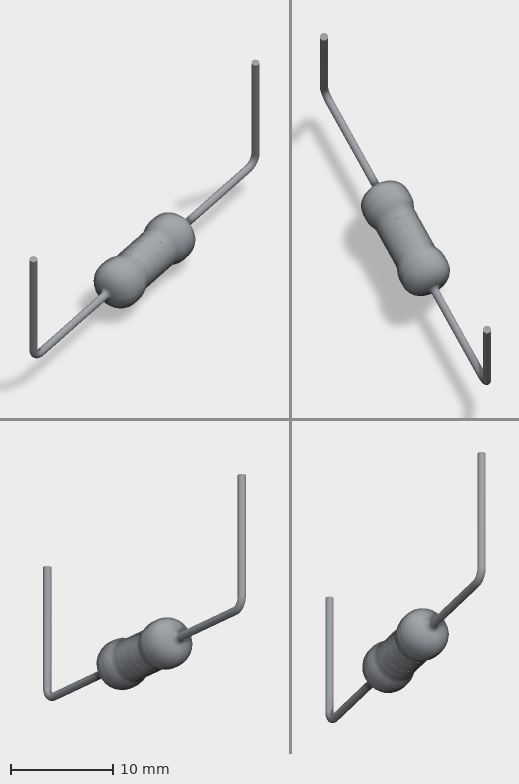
import cadquery as cq


wire_radius = 0.4
lead_spacing = 35.0
lead_top = 13.6
bend_radius = 1.2

cap_radius = 2.5
barrel_radius = 4.25 / 2
band_radius = 4.27 / 2
body_half_length = 6.0
cap_outer_edge = 4.25
cap_inner_edge = 3.5
barrel_half_length = 2.0
neck_fillet = 0.5

band_count = 4
band_width = 2 * barrel_half_length / (2 * band_count - 1)


def make_cylinder(radius, start_y, length):
    """Solid cylinder about Y, running from start_y toward +Y."""
    return (
        cq.Workplane("XZ", origin=(0, start_y, 0))
        .circle(radius)
        .extrude(-length)
    )


def make_end_cap():
    """Flared shoulder, domed cap and filleted neck at the +Y end, revolved about Y."""
    neck_radius = wire_radius + neck_fillet
    neck_end = body_half_length + neck_fillet
    shoulder_y = (cap_inner_edge + barrel_half_length) / 2
    shoulder_radius = (cap_radius + barrel_radius) / 2
    half_length = shoulder_y - barrel_half_length
    half_rise = shoulder_radius - barrel_radius
    shoulder_arc = (half_length**2 + half_rise**2) / (2 * half_rise)
    return (
        cq.Workplane("XY")
        .moveTo(0, barrel_half_length)
        .lineTo(barrel_radius, barrel_half_length)
        .radiusArc((shoulder_radius, shoulder_y), shoulder_arc)
        .tangentArcPoint((cap_radius, cap_inner_edge), relative=False)
        .lineTo(cap_radius, cap_outer_edge)
        .tangentArcPoint((neck_radius, body_half_length), relative=False)
        .radiusArc((wire_radius, neck_end), neck_fillet)
        .lineTo(0, neck_end)
        .close()
        .revolve(360, (0, 0, 0), (0, 1, 0))
    )


def make_body():
    """Dog-bone body: a plain barrel between two mirrored end caps."""
    barrel = make_cylinder(barrel_radius, -barrel_half_length, 2 * barrel_half_length)
    end_cap = make_end_cap()
    return barrel.union(end_cap).union(end_cap.mirror("XZ"))


def make_band(index):
    """One thin raised ring around the barrel."""
    start_y = -barrel_half_length + 2 * index * band_width
    return make_cylinder(band_radius, start_y, band_width)


def make_leads():
    """One round wire through the body, with a rounded bend up to each lead."""
    lead_y = lead_spacing / 2
    bend_start = lead_y - bend_radius
    path = (
        cq.Workplane("YZ")
        .moveTo(-lead_y, lead_top)
        .lineTo(-lead_y, bend_radius)
        .tangentArcPoint((-bend_start, 0), relative=False)
        .lineTo(bend_start, 0)
        .tangentArcPoint((lead_y, bend_radius), relative=False)
        .lineTo(lead_y, lead_top)
    )
    return (
        cq.Workplane("XY", origin=(0, -lead_y, lead_top))
        .circle(wire_radius)
        .sweep(path)
    )


result = make_body().union(make_leads())
for band_index in range(band_count):
    result = result.union(make_band(band_index))